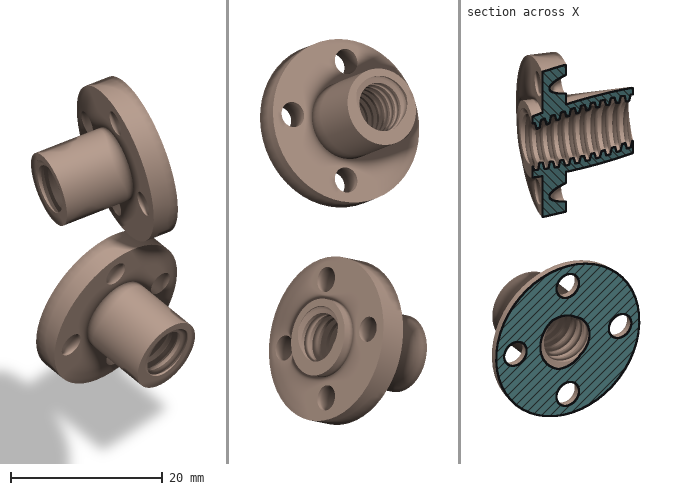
import cadquery as cq
import math

flange_diameter = 22.0
flange_thickness = 3.6
hub_diameter = 10.3
hub_projection = 1.5
nut_length = 15.0
bolt_hole_diameter = 3.4
bolt_circle_diameter = 16.0
bolt_hole_count = 4

bore_diameter = 6.6
thread_diameter = 8.3
thread_turns = 10
thread_pitch = nut_length / thread_turns
groove_mouth_width = 0.65 * thread_pitch
groove_root_width = 0.35 * thread_pitch
groove_overlap = 0.1

overall_height = 52
nut_spacing = overall_height - flange_diameter
flange_middle = hub_projection + flange_thickness / 2
lower_flange_x = -2.15
upper_flange_x = 0.1
upper_flange_y = 1.65
upper_turn = 15


def make_groove_cutter():
    """Trapezoidal helical groove, one turn longer than the nut at each end."""
    bore_radius = bore_diameter / 2
    root_radius = thread_diameter / 2
    inner_radius = bore_radius - groove_overlap
    flank_slope = (groove_mouth_width - groove_root_width) / 2 / (root_radius - bore_radius)
    half_root = groove_root_width / 2
    half_inner = groove_mouth_width / 2 + flank_slope * groove_overlap
    helix = cq.Wire.makeHelix(thread_pitch, nut_length + 2 * thread_pitch, bore_radius)
    profile = (
        cq.Workplane("XZ")
        .moveTo(inner_radius, -half_inner)
        .lineTo(root_radius, -half_root)
        .lineTo(root_radius, half_root)
        .lineTo(inner_radius, half_inner)
        .close()
    )
    groove = profile.sweep(cq.Workplane(obj=helix), isFrenet=True)
    return groove.translate((0, 0, -thread_pitch))


def make_nut():
    """Flange on a round hub, with a ring of bolt holes and a threaded bore."""
    hub = cq.Workplane("XY").circle(hub_diameter / 2).extrude(nut_length)
    flange = (
        cq.Workplane("XY", origin=(0, 0, hub_projection))
        .circle(flange_diameter / 2)
        .extrude(flange_thickness)
    )
    bolt_holes = (
        cq.Workplane("XY", origin=(0, 0, hub_projection))
        .polarArray(bolt_circle_diameter / 2, 0, 360, bolt_hole_count)
        .circle(bolt_hole_diameter / 2)
        .extrude(flange_thickness)
    )
    bore = cq.Workplane("XY").circle(bore_diameter / 2).extrude(nut_length)
    return hub.union(flange).cut(bolt_holes).cut(make_groove_cutter()).cut(bore)


def place_nut(nut, flange_center, axis):
    """Put the middle of the flange at a point, the barrel along an axis, thread start up."""
    seat = cq.Plane(origin=flange_center, xDir=(0, 0, 1), normal=axis)
    return nut.solids().val().translate(cq.Vector(0, 0, -flange_middle)).moved(cq.Location(seat))


nut = make_nut()
turn_angle = math.radians(upper_turn)
upper_axis = (-math.sin(turn_angle), -math.cos(turn_angle), 0)
placements = [
    ((lower_flange_x, 0, -nut_spacing / 2), (1, 0, 0)),
    ((upper_flange_x, upper_flange_y, nut_spacing / 2), upper_axis),
]
nuts = [place_nut(nut, flange_center, axis) for flange_center, axis in placements]

result = cq.Compound.makeCompound(nuts)